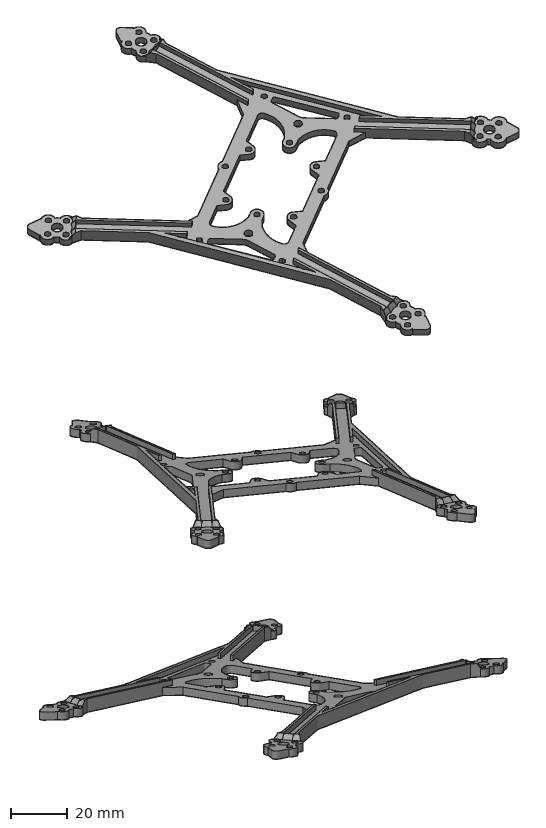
import cadquery as cq
import math

PLATE_T = 3.0
RIB_TOP = 5.0

FRAME_TURN = 0.45

BODY_HALF_X = 19.6
WINDOW_HALF_X = 14.7
BAR_OUTER_Y = 40.2
BAR_W = 1.7
BAR_HALF_LENGTH = 36.0
BODY_HALF_Y = BAR_OUTER_Y - BAR_W / 2
WEB_HALF_X = 30.0
WEB_INNER_Y = 36.0

WINDOW_HALF_Y = 28.1
WINDOW_SIDE_END_Y = 26.4
WINDOW_CORNER_X = 12.8
TONGUE_R = 2.5
TONGUE_HOLE_Y = 17.9
TONGUE_ROOT_Y = 20.0
TONGUE_ARC_MID = (6.0, 25.5)

POCKET_HALF_X = 12.4
POCKET_OUTER_Y = 36.6
POCKET_SIDE_Y = 34.0
POCKET_TIP_Y = 30.3
POCKET_CORNER_R = 0.9
POCKET_TIP_R = 4.0

SMALL_HOLE_D = 2.2
CENTRE_HOLE_D = 3.0
CENTRE_HOLE_Y = 27.3
CORNER_HOLE_X = 15.4
CORNER_HOLE_Y = 35.7
SIDE_HOLE_X = 17.85
SIDE_LOBE_R = 2.6
LUG_HOLE_X = 12.6
LUG_HOLE_YS = (10.25, -14.85)
LUG_R = 2.3
LUG_ROOT_HALF = 3.6

MOTOR_X = 64.75
MOTOR_Y = 46.25
ARM_ANGLE = 16.5
ARM_W = 6.0
RIB_W = 1.0
RIB_START_X = 19.75
GUSSET_LENGTH = 4.5

MOTOR_BORE_D = 4.0
MOTOR_CIRCLE_R = 4.55
SCREW_ANGLES = (45, 135, 225, 315)
CORE_R = 4.6
TAIL_ROOT = (6.0, 3.9)
TAIL_END = (9.95, 1.2)
TAIL_TIP_U = 10.45
FLARE_START = (-8.6, ARM_W / 2)
FLARE_END = (-4.4, 5.1)
SCREW_CLEAR_R = 2.1
MOTOR_CLEAR_R = 5.2
RAMP_RUN = 1.35
DAM_LAND = 0.1

ARMS = (
    (1, 1, 2.95),
    (-1, 1, 2.55),
    (-1, -1, 2.61),
    (1, -1, 2.5),
)


def discs(points, diameter):
    """Plate-thick round discs, used both as lobes and as hole cutters."""
    return cq.Workplane("XY").pushPoints(points).circle(diameter / 2).extrude(PLATE_T)


def window():
    """Central opening, narrowed at both ends by a round-ended tongue."""
    quarter = (
        cq.Workplane("XY")
        .lineTo(WINDOW_HALF_X, 0)
        .lineTo(WINDOW_HALF_X, WINDOW_SIDE_END_Y)
        .tangentArcPoint((WINDOW_CORNER_X, WINDOW_HALF_Y), relative=False)
        .threePointArc(TONGUE_ARC_MID, (TONGUE_R, TONGUE_ROOT_Y))
        .lineTo(TONGUE_R, TONGUE_HOLE_Y)
        .radiusArc((0, TONGUE_HOLE_Y - TONGUE_R), TONGUE_R)
        .close()
        .extrude(PLATE_T)
    )
    half = quarter.union(quarter.mirror("YZ"))
    return half.union(half.mirror("XZ"))


def end_pocket():
    pocket = (
        cq.Workplane("XY")
        .polyline(
            [
                (POCKET_HALF_X, POCKET_OUTER_Y),
                (-POCKET_HALF_X, POCKET_OUTER_Y),
                (-POCKET_HALF_X, POCKET_SIDE_Y),
                (0, POCKET_TIP_Y),
                (POCKET_HALF_X, POCKET_SIDE_Y),
            ]
        )
        .close()
        .extrude(PLATE_T)
    )
    pocket = pocket.edges("|Z").edges("<Y").fillet(POCKET_TIP_R)
    corners = pocket.edges("|Z").edges("<X or >X")
    return corners.fillet(POCKET_CORNER_R)


def lug(side, y):
    """Rounded lug reaching from a side wall into the window, tapering from a wider root."""
    root_x = WINDOW_HALF_X
    reach = root_x - LUG_HOLE_X
    tangent = math.acos(LUG_R / math.hypot(reach, LUG_ROOT_HALF)) - math.atan2(reach, LUG_ROOT_HALF)
    tip_x = LUG_HOLE_X - LUG_R * math.sin(tangent)
    tip_half = LUG_R * math.cos(tangent)
    taper = [
        (side * root_x, y - LUG_ROOT_HALF),
        (side * tip_x, y - tip_half),
        (side * tip_x, y + tip_half),
        (side * root_x, y + LUG_ROOT_HALF),
    ]
    base = cq.Workplane("XY").polyline(taper).close().extrude(PLATE_T)
    tip = cq.Workplane("XY").center(side * LUG_HOLE_X, y).circle(LUG_R).extrude(PLATE_T)
    return base.union(tip)


def body():
    plate = cq.Workplane("XY").rect(2 * BODY_HALF_X, 2 * BODY_HALF_Y).extrude(PLATE_T)
    web_depth = BODY_HALF_Y - WEB_INNER_Y
    web_centres = [(0, sy * (WEB_INNER_Y + web_depth / 2)) for sy in (1, -1)]
    webs = cq.Workplane("XY").pushPoints(web_centres).rect(2 * WEB_HALF_X, web_depth).extrude(PLATE_T)
    plate = plate.union(webs)
    plate = plate.cut(window())
    pocket = end_pocket()
    plate = plate.cut(pocket).cut(pocket.mirror("XZ"))
    for side in (1, -1):
        lobe = cq.Workplane("XY").center(side * SIDE_HOLE_X, 0).circle(SIDE_LOBE_R).extrude(PLATE_T)
        plate = plate.union(lobe)
        for y in LUG_HOLE_YS:
            plate = plate.union(lug(side, y))
    small = [(side * SIDE_HOLE_X, 0) for side in (1, -1)]
    small += [(side * LUG_HOLE_X, y) for side in (1, -1) for y in LUG_HOLE_YS]
    small += [(sx * CORNER_HOLE_X, sy * CORNER_HOLE_Y) for sx in (1, -1) for sy in (1, -1)]
    small += [(0, sy * TONGUE_HOLE_Y) for sy in (1, -1)]
    centre = [(0, sy * CENTRE_HOLE_Y) for sy in (1, -1)]
    return plate.cut(discs(small, SMALL_HOLE_D)).cut(discs(centre, CENTRE_HOLE_D))


def place(shape, x_side, y_side):
    """Move a shape from the motor frame of the +X +Y arm to the arm on the given sides."""
    placed = shape.rotate((0, 0, 0), (0, 0, 1), ARM_ANGLE).translate((MOTOR_X, MOTOR_Y, 0))
    if x_side < 0:
        placed = placed.mirror("YZ")
    if y_side < 0:
        placed = placed.mirror("XZ")
    return placed


def strip(width, bottom, top):
    """Bar along the arm, from the motor centre to a little past the start of the ribs."""
    length = (MOTOR_X - RIB_START_X) / math.cos(math.radians(ARM_ANGLE)) + ARM_W
    bar = cq.Workplane("XY").box(length, width, top - bottom, centered=(False, True, False))
    return bar.translate((-length, 0, bottom))


def inner_clearances():
    """Centre and radius of each round clearance on the arm side of the mount."""
    inner = [(x, y, SCREW_CLEAR_R) for x, y in screw_points() if x < 0]
    return inner + [(0, 0, MOTOR_CLEAR_R)]


def motor_ramp():
    """Space above the mount, widening upward so that the arm end slopes up to the rib top."""
    cones = [
        cq.Solid.makeCone(radius, radius + RAMP_RUN, RIB_TOP - PLATE_T, pnt=cq.Vector(x, y, PLATE_T))
        for x, y, radius in inner_clearances()
    ]
    return cq.Workplane(obj=cones[0].fuse(*cones[1:]))


def channel():
    """Groove between the ribs, stopped short of the ramp so that a thin dam closes its end."""
    groove = strip(ARM_W - 2 * RIB_W, PLATE_T, RIB_TOP)
    for x, y, radius in inner_clearances():
        stop = cq.Workplane("XY").center(x, y).circle(radius + RAMP_RUN + DAM_LAND).extrude(RIB_TOP)
        groove = groove.cut(stop)
    return groove


def arm_blank():
    """Arm at full height with its flared outer end, sloped down at the mount."""
    flare = (
        cq.Workplane("XY")
        .polyline(
            [
                FLARE_START,
                FLARE_END,
                (FLARE_END[0], -FLARE_END[1]),
                (FLARE_START[0], -FLARE_START[1]),
            ]
        )
        .close()
        .extrude(RIB_TOP)
    )
    return strip(ARM_W, 0, RIB_TOP).union(flare).cut(motor_ramp())


def mount_plate(lobe_r):
    """Four-lobed motor mount with a pointed tail."""
    tail = (
        cq.Workplane("XY")
        .lineTo(TAIL_ROOT[0], -TAIL_ROOT[1])
        .lineTo(TAIL_END[0], -TAIL_END[1])
        .threePointArc((TAIL_TIP_U, 0), TAIL_END)
        .lineTo(*TAIL_ROOT)
        .close()
        .extrude(PLATE_T)
    )
    core = cq.Workplane("XY").circle(CORE_R).extrude(PLATE_T)
    return core.union(tail).union(discs(screw_points(), 2 * lobe_r))


def screw_points():
    angles = [math.radians(a) for a in SCREW_ANGLES]
    return [(MOTOR_CIRCLE_R * math.cos(a), MOTOR_CIRCLE_R * math.sin(a)) for a in angles]


def mount_holes():
    return discs(screw_points(), SMALL_HOLE_D).union(discs([(0, 0)], MOTOR_BORE_D))


def gusset(x_side, y_side):
    """Triangle filling the corner between the body side and the inner edge of an arm."""
    slope = math.radians(ARM_ANGLE)
    edge_y = MOTOR_Y - (MOTOR_X - BODY_HALF_X) * math.tan(slope) - ARM_W / 2 / math.cos(slope)
    arm_end = (
        BODY_HALF_X + GUSSET_LENGTH * math.cos(slope),
        edge_y + GUSSET_LENGTH * math.sin(slope),
    )
    corners = [(BODY_HALF_X, edge_y - GUSSET_LENGTH), arm_end, (BODY_HALF_X, arm_end[1])]
    corners = [(x_side * x, y_side * y) for x, y in corners]
    return cq.Workplane("XY").polyline(corners).close().extrude(PLATE_T)


def turned(shape):
    return shape.rotate((0, 0, 0), (0, 0, 1), FRAME_TURN)


def end_bar(y_side):
    bar = cq.Workplane("XY").box(2 * BAR_HALF_LENGTH, BAR_W, RIB_TOP, centered=(True, True, False))
    return bar.translate((0, y_side * (BAR_OUTER_Y - BAR_W / 2), 0))


def between_ribs():
    """Space above the plate between the square-cut rib ends of the left and right arms."""
    depth = 2 * (BAR_OUTER_Y - BAR_W)
    plate_top = cq.Workplane("XY").workplane(offset=PLATE_T)
    return plate_top.rect(2 * RIB_START_X, depth).extrude(RIB_TOP - PLATE_T)


def build():
    frame = body()
    channels = []
    for x_side, y_side, lobe_r in ARMS:
        frame = frame.union(gusset(x_side, y_side))
        frame = frame.union(place(arm_blank(), x_side, y_side))
        frame = frame.union(place(mount_plate(lobe_r), x_side, y_side))
        frame = frame.cut(place(mount_holes(), x_side, y_side))
        channels.append(turned(place(channel(), x_side, y_side)))
    frame = turned(frame).cut(between_ribs())
    for y_side in (1, -1):
        frame = frame.union(end_bar(y_side))
    for space in channels:
        frame = frame.cut(space)
    return frame


result = build()